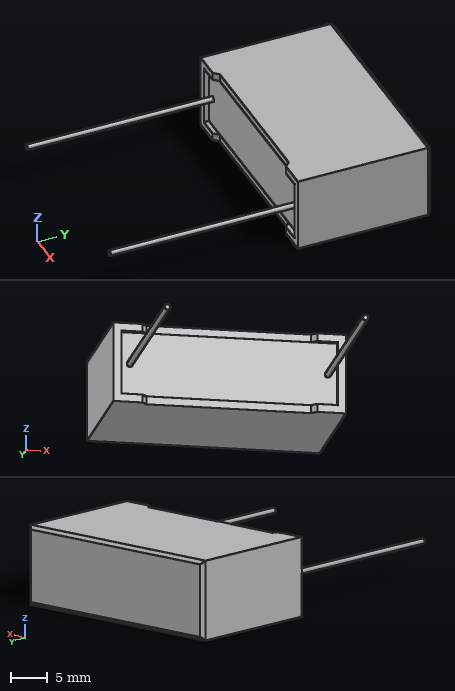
import cadquery as cq

case_width = 32.3
case_length = 20.0
case_height = 11.2
wall = 1.15
back_chamfer = 0.5

notch_depth = 0.75
notch_floor_width = 22.8
notch_mouth_width = notch_floor_width + 2 * notch_depth

fill_recess = notch_depth
cavity_width = case_width - 2 * wall
cavity_height = case_height - 2 * wall
fill_length = case_length - wall - fill_recess

total_length = 47.1
lead_pitch = 27.5
lead_diameter = 0.8
lead_length = total_length - case_length + fill_recess


def block_along_y(width, height, start, length):
    """Box centred on the Y axis, from Y = start towards +Y."""
    return cq.Workplane("XY").box(width, length, height).translate((0, start + length / 2, 0))


def make_notch_cutter():
    """Trapezoid in the XY plane, cutting through both long rim sides."""
    return (
        cq.Workplane("XY")
        .moveTo(-notch_mouth_width / 2, 0)
        .lineTo(-notch_floor_width / 2, notch_depth)
        .lineTo(notch_floor_width / 2, notch_depth)
        .lineTo(notch_mouth_width / 2, 0)
        .close()
        .extrude(case_height / 2, both=True)
    )


def make_case():
    shell = block_along_y(case_width, case_height, 0, case_length)
    shell = shell.faces(">Y").edges().chamfer(back_chamfer)
    cavity = block_along_y(cavity_width, cavity_height, 0, case_length - wall)
    return shell.cut(cavity).cut(make_notch_cutter())


def make_fill():
    return block_along_y(cavity_width, cavity_height, fill_recess, fill_length)


def make_lead(x):
    """Round wire running from the fill surface towards -Y."""
    return (
        cq.Workplane("XZ", origin=(x, fill_recess, 0))
        .circle(lead_diameter / 2)
        .extrude(lead_length)
    )


case = make_case()
fill = make_fill()
leads = [make_lead(side * lead_pitch / 2) for side in (-1, 1)]

result = cq.Compound.makeCompound([case.val(), fill.val(), *[lead.val() for lead in leads]])